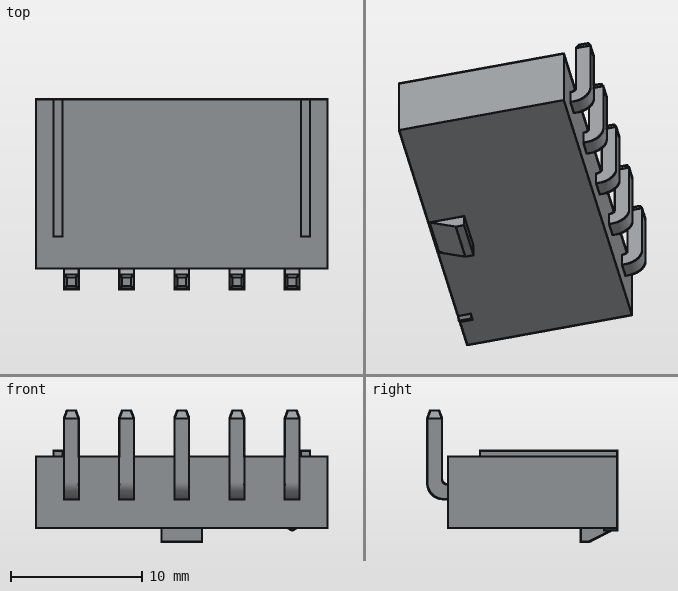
import cadquery as cq

body_width = 22.2
body_depth = 12.9
body_height = 5.45

rail_width = 0.7
rail_height = 0.45
rail_length = 10.45
rail_inset = 1.33

latch_width = 3.1
latch_drop = 1.05
latch_length = 2.7
latch_flat = 0.65
latch_setback = 0.1

marker_width = 0.62
marker_drop = 0.2
marker_length = 1.0

pin_count = 5
pin_pitch = 4.2
pin_size = 1.14
pin_reach = 1.57
pin_rise = 3.5
pin_underside = 2.19
pin_outer_radius = 1.25
pin_inner_radius = 0.4
pin_tip_height = 0.6
pin_tip_size = 0.68

pin_top = body_height + pin_rise
shank_top = pin_top - pin_tip_height
pin_positions = [(i - (pin_count - 1) / 2) * pin_pitch for i in range(pin_count)]


def make_housing():
    return cq.Workplane("XY").box(
        body_width, body_depth, body_height, centered=(True, False, False)
    )


def make_rail(side):
    """Rail near the +X (side = 1) or -X (side = -1) end of the housing."""
    rail_x = side * (body_width / 2 - rail_inset - rail_width / 2)
    rail = cq.Workplane("XY").box(
        rail_width, rail_length, rail_height, centered=(True, False, False)
    )
    return rail.translate((rail_x, body_depth - rail_length, body_height))


def make_latch():
    """Ramp that deepens from just inside the rear face to a flat-bottomed catch."""
    ramp_y = body_depth - latch_setback
    catch_y = ramp_y - latch_length
    return (
        cq.Workplane("YZ")
        .moveTo(ramp_y, 0)
        .lineTo(catch_y, 0)
        .lineTo(catch_y, -latch_drop)
        .lineTo(catch_y + latch_flat, -latch_drop)
        .close()
        .extrude(latch_width / 2, both=True)
    )


def make_marker():
    marker_x = pin_positions[-1]
    return (
        cq.Workplane("XZ", origin=(marker_x, body_depth, 0))
        .moveTo(-marker_width / 2, 0)
        .lineTo(marker_width / 2, 0)
        .lineTo(0, -marker_drop)
        .close()
        .extrude(marker_length)
    )


def make_pin(pin_x):
    """Square pin leaving the front face, bent upward, with a tapered tip."""
    outer_y = -pin_reach
    inner_y = outer_y + pin_size
    upper_z = pin_underside + pin_size
    shank = (
        cq.Workplane("YZ", origin=(pin_x, 0, 0))
        .moveTo(0, pin_underside)
        .lineTo(outer_y + pin_outer_radius, pin_underside)
        .radiusArc((outer_y, pin_underside + pin_outer_radius), pin_outer_radius)
        .lineTo(outer_y, shank_top)
        .lineTo(inner_y, shank_top)
        .lineTo(inner_y, upper_z + pin_inner_radius)
        .radiusArc((inner_y + pin_inner_radius, upper_z), -pin_inner_radius)
        .lineTo(0, upper_z)
        .close()
        .extrude(pin_size / 2, both=True)
    )
    tip = (
        cq.Workplane("XY", origin=(pin_x, outer_y + pin_size / 2, shank_top))
        .rect(pin_size, pin_size)
        .workplane(offset=pin_tip_height)
        .rect(pin_tip_size, pin_tip_size)
        .loft(combine=True)
    )
    return shank.union(tip)


result = make_housing().union(make_latch()).union(make_marker())
for rail_side in (-1, 1):
    result = result.union(make_rail(rail_side))
for position in pin_positions:
    result = result.union(make_pin(position))